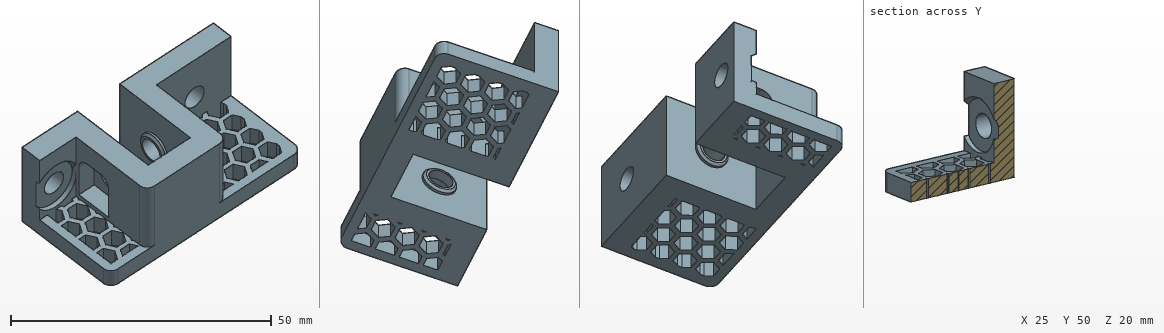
import cadquery as cq
import math

length = 50.0
depth = 25.0
height = 20.0
wall = 5.0
gap = 11.0
near_flange = 9.5
near_leg_inner = near_flange + wall
far_leg_inner = near_leg_inner + gap
far_flange_start = far_leg_inner + wall
corner_radius = 2.0
mid_height = height / 2
along_x = cq.Vector(1, 0, 0)
along_y = cq.Vector(0, 1, 0)

plate_thickness = 4.0
plate_margin = 2.0
far_margin = 2.5
hex_flats = 4.0
hex_pitch = 5.0
row_spacing = 4.5
hex_column = 8.5
near_row = 7.05
far_row = 31.95

hole_diameter = 5.0
pivot_x = 10.0
boss_diameter = 7.0
boss_height = 1.0
boss_chamfer = 0.5
nut_width = 8.4
nut_bottom = 5.0
nut_top = 15.0
nut_radius = 2.5
nut_depth = 4.0

near_hole_y = near_flange / 2
far_hole_y = 40.45
washer_radius = 5.25
washer_depth = 1.1
washer_flare = 0.6
washer_y = near_flange - washer_radius


def box(x0, x1, y0, y1, z0, z1):
    """Axis-aligned block between two opposite corners."""
    return cq.Workplane("XY").box(x1 - x0, y1 - y0, z1 - z0, centered=False).translate((x0, y0, z0))


def make_bracket():
    """Hat-shaped wall: two flanges, two legs and a back web."""
    outline = [
        (0, 0),
        (wall, 0),
        (wall, near_flange),
        (depth, near_flange),
        (depth, far_flange_start),
        (wall, far_flange_start),
        (wall, length),
        (0, length),
        (0, far_leg_inner),
        (depth - wall, far_leg_inner),
        (depth - wall, near_leg_inner),
        (0, near_leg_inner),
    ]
    bracket = cq.Workplane("XY").polyline(outline).close().extrude(height)
    return bracket.edges("|Z and >X").fillet(corner_radius)


def honeycomb(y0, y1, first_row):
    """Hexagonal cutters on alternating rows, trimmed to the window between y0 and y1."""
    columns = math.ceil(depth / hex_pitch)
    rows = math.ceil((y1 - y0) / row_spacing)
    centers = []
    for row in range(-1, rows + 1):
        shift = (row % 2) * hex_pitch / 2
        for column in range(-1, columns):
            centers.append((hex_column - shift + column * hex_pitch, first_row + row * row_spacing))
    hex_diameter = hex_flats / math.cos(math.pi / 6)
    cell = cq.Workplane("XY").polygon(6, hex_diameter).extrude(plate_thickness)
    cell = cell.rotate((0, 0, 0), (0, 0, 1), 90)
    cells = cq.Workplane("XY").pushPoints(centers).eachpoint(lambda place: cell.val().moved(place))
    window = box(wall, depth - plate_margin, y0, y1, 0, plate_thickness)
    return window.intersect(cells)


def make_plate(near_cells, far_cells):
    """Base plate, notched between the legs and perforated outside them."""
    plate = box(0, depth, 0, length, 0, plate_thickness).edges("|Z and >X").fillet(corner_radius)
    plate = plate.cut(box(0, depth - wall, near_leg_inner, far_leg_inner, 0, plate_thickness))
    return plate.cut(near_cells).cut(far_cells)


def pivot_cylinder(diameter, y0, y1):
    """Cylinder about the pivot axis, running along +Y from y0 to y1."""
    base = cq.Vector(pivot_x, y0, mid_height)
    return cq.Workplane(cq.Solid.makeCylinder(diameter / 2, y1 - y0, base, along_y))


def near_boss():
    disc = pivot_cylinder(boss_diameter, near_leg_inner, near_leg_inner + boss_height)
    return disc.faces(">Y").chamfer(boss_chamfer)


def far_boss():
    disc = pivot_cylinder(boss_diameter, far_leg_inner - boss_height, far_leg_inner)
    return disc.faces("<Y").chamfer(boss_chamfer)


def nut_pocket():
    """Pocket in the near leg with a flat bottom and rounded top corners."""
    half = nut_width / 2
    floor_y = near_flange + nut_depth
    pocket = box(pivot_x - half, pivot_x + half, near_flange, floor_y, nut_bottom, nut_top)
    return pocket.edges("|Y and >Z").fillet(nut_radius)


def flange_hole(y):
    start = cq.Vector(0, y, mid_height)
    return cq.Workplane(cq.Solid.makeCylinder(hole_diameter / 2, wall, start, along_x))


def washer_recess():
    """Round recess in the near flange; its upper half flares out but stops at the leg face."""
    floor = cq.Vector(wall - washer_depth, washer_y, mid_height)
    seat = cq.Workplane(cq.Solid.makeCylinder(washer_radius, washer_depth, floor, along_x))
    rim_radius = washer_radius + washer_flare
    flare = cq.Workplane(cq.Solid.makeCone(washer_radius, rim_radius, washer_depth, floor, along_x))
    upper_half = box(0, wall, washer_y - rim_radius, near_flange, mid_height, height)
    return seat.union(flare.intersect(upper_half))


near_cells = honeycomb(plate_margin, near_flange, near_row)
far_cells = honeycomb(far_flange_start, length - far_margin, far_row)

result = make_bracket().union(make_plate(near_cells, far_cells))
result = result.union(near_boss()).union(far_boss())
result = result.cut(pivot_cylinder(hole_diameter, 0, length)).cut(nut_pocket())
result = result.cut(flange_hole(near_hole_y)).cut(flange_hole(far_hole_y)).cut(washer_recess())